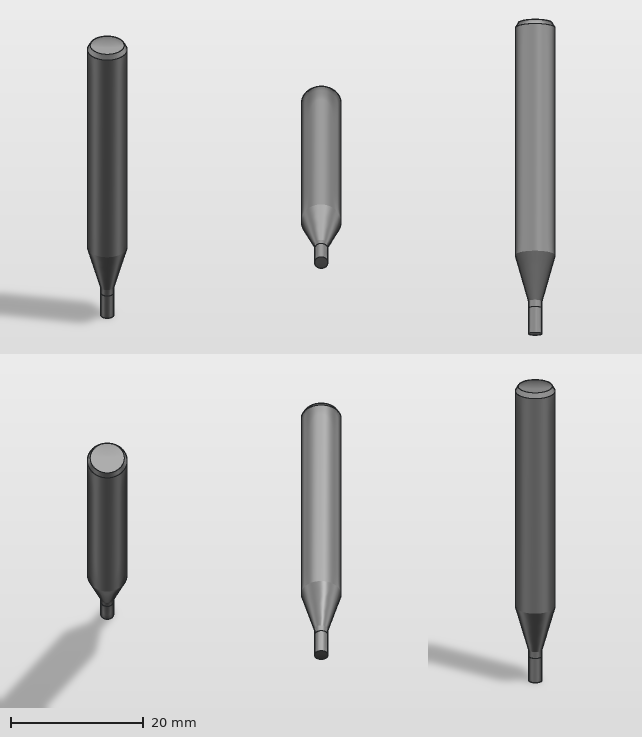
import cadquery as cq

total_length = 48.0
shank_diameter = 6.0
tip_diameter = 2.0

cutter_length = 4.0
neck_length = 1.0
taper_length = 7.1

chamfer_height = 0.75
chamfer_width = 0.45

shank_radius = shank_diameter / 2
tip_radius = tip_diameter / 2
taper_bottom = cutter_length + neck_length
taper_top = taper_bottom + taper_length
chamfer_bottom = total_length - chamfer_height


def make_cutter():
    """Cylindrical cutting tip at the lower end."""
    return cq.Workplane("XY").circle(tip_radius).extrude(cutter_length)


def make_shank():
    """Neck, taper and chamfered shank, revolved about Z from a half profile."""
    return (
        cq.Workplane("XZ")
        .moveTo(0, cutter_length)
        .lineTo(tip_radius, cutter_length)
        .lineTo(tip_radius, taper_bottom)
        .lineTo(shank_radius, taper_top)
        .lineTo(shank_radius, chamfer_bottom)
        .lineTo(shank_radius - chamfer_width, total_length)
        .lineTo(0, total_length)
        .close()
        .revolve(360, (0, 0, 0), (0, 1, 0))
    )


cutter = make_cutter()
shank = make_shank()

result = cq.Compound.makeCompound([cutter.val(), shank.val()])